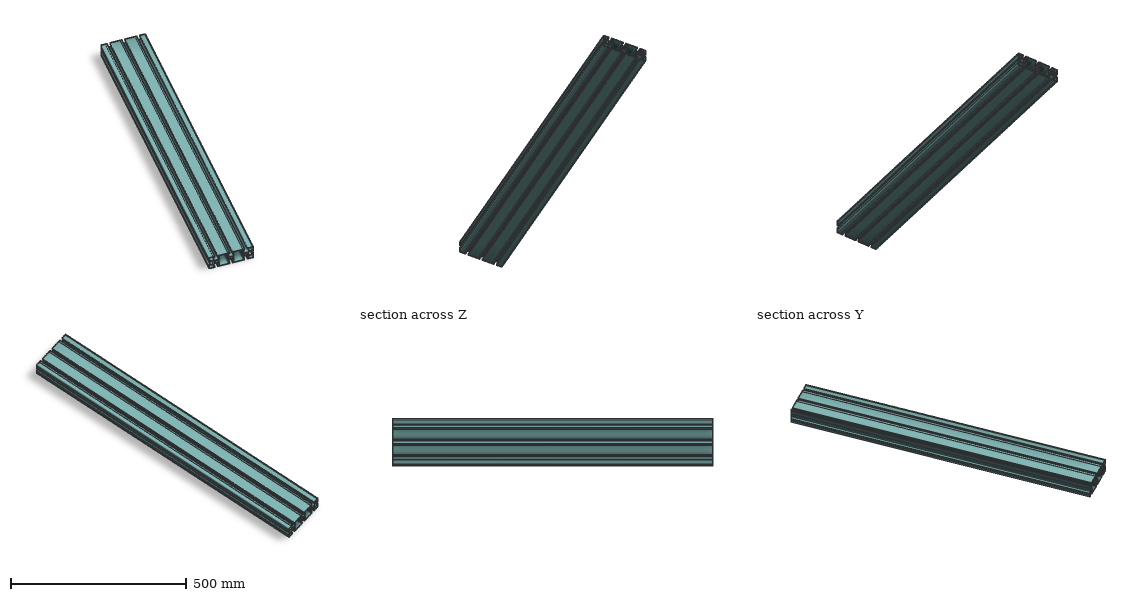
import cadquery as cq

LENGTH = 914.0
WIDTH = 135.0
HEIGHT = 45.0
CORNER_RADIUS = 3.0

WALL = 2.3

CORE_PITCH = WIDTH / 3
CORE_POSITIONS = (-CORE_PITCH, 0, CORE_PITCH)
CORE_BORE_RADIUS = 3.8

SLOT_OPENING = 8.0
SLOT_WIDTH = 14.0
SLOT_DEPTH = 16.0
LIP_DEPTH = 4.1
LIP_SLOPE_DEPTH = 0.5
LIP_EDGE_RADIUS = 0.3
SLOT_FLOOR_RADIUS = 1.0

WAIST_OFFSET = 7.0
WAIST_HALF_HEIGHT = 4.1
WAIST_SLOPE_HEIGHT = 3.2

LARGE_CHAMBER_RADIUS = 0.7
CORNER_CHAMBER_RADIUS = 1.0

HALF_WIDTH = WIDTH / 2
HALF_HEIGHT = HEIGHT / 2
HALF_SLOT = SLOT_WIDTH / 2
CHAMBER_TOP = HALF_HEIGHT - WALL
WALL_OFFSET = HALF_SLOT + WALL


def prism(outline):
    """Extrude a closed (y, z) outline along the whole length, centred on X."""
    return cq.Workplane("YZ").polyline(outline).close().extrude(LENGTH / 2, both=True)


def top_slot():
    """T-slot open at the +Z face over Y = 0, with sloped lip undersides, rounded lip edges and floor."""
    half_opening = SLOT_OPENING / 2
    half_mouth = half_opening + LIP_EDGE_RADIUS
    lip_edge = HALF_HEIGHT - LIP_EDGE_RADIUS
    lip_bottom = HALF_HEIGHT - LIP_DEPTH
    slope_bottom = lip_bottom - LIP_SLOPE_DEPTH
    floor = HALF_HEIGHT - SLOT_DEPTH
    return (
        cq.Workplane("YZ")
        .moveTo(-half_mouth, HALF_HEIGHT)
        .lineTo(half_mouth, HALF_HEIGHT)
        .radiusArc((half_opening, lip_edge), -LIP_EDGE_RADIUS)
        .lineTo(half_opening, lip_bottom)
        .lineTo(HALF_SLOT, slope_bottom)
        .lineTo(HALF_SLOT, floor)
        .lineTo(-HALF_SLOT, floor)
        .lineTo(-HALF_SLOT, slope_bottom)
        .lineTo(-half_opening, lip_bottom)
        .lineTo(-half_opening, lip_edge)
        .radiusArc((-half_mouth, HALF_HEIGHT), -LIP_EDGE_RADIUS)
        .close()
        .extrude(LENGTH / 2, both=True)
        .faces("<Z")
        .edges("|X")
        .fillet(SLOT_FLOOR_RADIUS)
    )


def large_chamber():
    """Chamber between the cores at Y = 0 and Y = CORE_PITCH, widened towards both at mid-height."""
    upper_side = [
        (WALL_OFFSET, CHAMBER_TOP),
        (WALL_OFFSET, WAIST_HALF_HEIGHT + WAIST_SLOPE_HEIGHT),
        (WAIST_OFFSET, WAIST_HALF_HEIGHT),
    ]
    near_side = upper_side + [(y, -z) for y, z in reversed(upper_side)]
    far_side = [(CORE_PITCH - y, z) for y, z in reversed(near_side)]
    chamber = prism(near_side + far_side)
    for extreme in (">Z", "<Z"):
        chamber = chamber.faces(extreme).edges("|X").fillet(LARGE_CHAMBER_RADIUS)
    return chamber


def corner_chamber():
    """Rectangular chamber in the +Y, +Z corner, between the upper slot and the side slot."""
    inner_y = CORE_PITCH + WALL_OFFSET
    outer_y = HALF_WIDTH - WALL
    outline = [
        (inner_y, WALL_OFFSET),
        (outer_y, WALL_OFFSET),
        (outer_y, CHAMBER_TOP),
        (inner_y, CHAMBER_TOP),
    ]
    return prism(outline).edges("|X").fillet(CORNER_CHAMBER_RADIUS)


result = cq.Workplane("XY").box(LENGTH, WIDTH, HEIGHT).edges("|X").fillet(CORNER_RADIUS)

for core_y in CORE_POSITIONS:
    upper_slot = top_slot().translate((0, core_y, 0))
    result = result.cut(upper_slot).cut(upper_slot.mirror("XY"))

side_slot = top_slot().rotate((0, 0, 0), (1, 0, 0), -90).translate((0, HALF_WIDTH - HALF_HEIGHT, 0))
result = result.cut(side_slot).cut(side_slot.mirror("XZ"))

chamber = large_chamber()
result = result.cut(chamber).cut(chamber.mirror("XZ"))

upper_corner = corner_chamber()
for corner in (upper_corner, upper_corner.mirror("XY")):
    result = result.cut(corner).cut(corner.mirror("XZ"))

bores = (
    cq.Workplane("YZ")
    .pushPoints([(core_y, 0) for core_y in CORE_POSITIONS])
    .circle(CORE_BORE_RADIUS)
    .extrude(LENGTH / 2, both=True)
)
result = result.cut(bores)